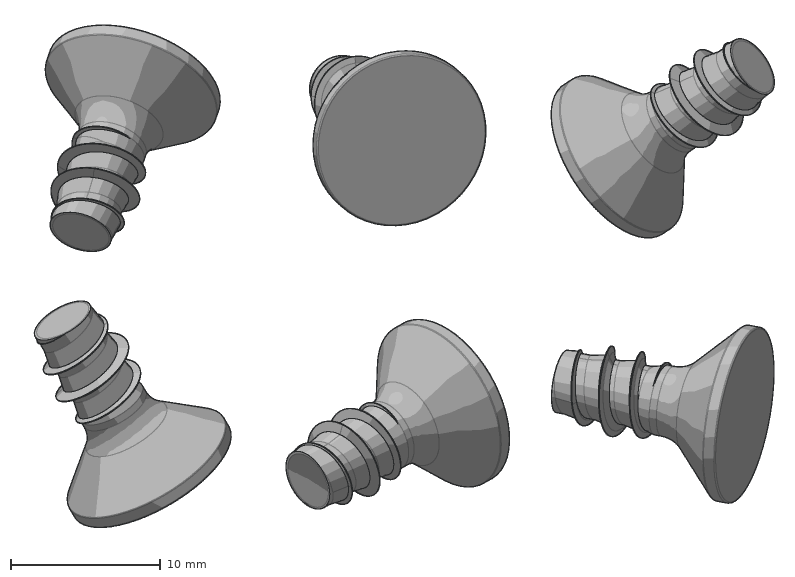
import cadquery as cq
import math


length = 13.0
head_radius = 6.0
shank_radius = 2.39
core_radius = 2.11

rim_depth = 0.87
rim_round = 0.1
neck_fillet = 2.35

thread_top = 5.96
taper_length = 0.95
tip_dimple_radius = 1.97
tip_dimple_depth = 0.13
tip_allowance = 1.0

pitch = 2.125
helix_zero_depth = 5.0
run_in_angle = 50.0
step_angle = 22.5
major_radius = 3.02
run_in_radius = 2.36
ring_radius = 2.52
run_out_radius = 2.05
ring_angle = 90.0
full_start_angle = 540.0
full_end_angle = 810.0
thread_end_angle = 1365.0
ring_depth = thread_top + 0.03

crest_half_width = 0.03
kink_offset = -0.16
kink_drop = 0.42
upper_root_offset = -0.48
lower_root_offset = 0.35
root_drop = 0.97
buried_drop = 1.25

swell_radius = 2.37
swell_fade_radius = 2.33
swell_end_radius = core_radius
swell_length = 1.40
swell_start_angle = ring_angle
swell_fade_angle = 1080.0
swell_inner_radius = 1.9
embed = 0.01


def interpolate(angle, stations):
    """Value at an angle, linear between (angle, value) stations."""
    for (a0, v0), (a1, v1) in zip(stations, stations[1:]):
        if angle <= a1:
            return v0 + (v1 - v0) * (angle - a0) / (a1 - a0)
    return stations[-1][1]


def helix_depth(angle):
    return helix_zero_depth + pitch * angle / 360.0


def crest_radius(angle):
    return interpolate(angle, [
        (run_in_angle, run_in_radius),
        (ring_angle, ring_radius),
        (full_start_angle, major_radius),
        (full_end_angle, major_radius),
        (thread_end_angle, run_out_radius),
    ])


def thread_section(angle):
    """(depth, radius) corners of the thread; the section sinks where the crest is lower."""
    depth = max(helix_depth(angle), ring_depth)
    radius = crest_radius(angle)
    corners = [
        (upper_root_offset, buried_drop),
        (upper_root_offset, root_drop),
        (kink_offset, kink_drop),
        (-crest_half_width, 0),
        (crest_half_width, 0),
        (lower_root_offset, root_drop),
        (lower_root_offset, buried_drop),
    ]
    return [(depth + offset, radius - drop) for offset, drop in corners]


def swell_section(angle):
    """(depth, radius) corners of the swell, highest under the crest."""
    depth = helix_depth(angle)
    top = interpolate(angle, [
        (swell_start_angle, swell_radius),
        (full_end_angle, swell_radius),
        (swell_fade_angle, swell_fade_radius),
        (thread_end_angle, swell_end_radius),
    ])
    return [
        (depth, swell_inner_radius),
        (depth, top),
        (depth + swell_length, core_radius - embed),
        (depth + swell_length, swell_inner_radius),
    ]


def helical_solid(section, start_angle, end_angle):
    """Solid swept by a section that turns about the screw axis and may change on the way."""
    steps = math.ceil((end_angle - start_angle) / step_angle)
    angles = [start_angle + (end_angle - start_angle) * i / steps for i in range(steps + 1)]
    rows = []
    for angle in angles:
        c = math.cos(math.radians(angle))
        s = math.sin(math.radians(angle))
        rows.append([cq.Vector(r * c, -d, r * s) for d, r in section(angle)])
    rails = [cq.Edge.makeSpline(list(rail)) for rail in zip(*rows)]
    faces = [cq.Face.makeRuledSurface(a, b) for a, b in zip(rails, rails[1:] + rails[:1])]
    for row in (rows[0], rows[-1]):
        faces.append(cq.Face.makeFromWires(cq.Wire.makePolygon(row, close=True)))
    solid = cq.Solid.makeSolid(cq.Shell.makeShell(faces))
    return cq.Workplane(solid.fix())


def make_body():
    """Head, neck, shank and core, turned about the axis."""
    slope = math.sqrt(0.5)
    fillet_start_radius = shank_radius + neck_fillet * (1 - slope)
    fillet_start = rim_depth + head_radius - fillet_start_radius
    fillet_end = fillet_start + neck_fillet * slope
    fillet_center = shank_radius + neck_fillet
    fillet_mid = math.radians(45 / 2)
    fillet_mid_point = (
        fillet_center - neck_fillet * math.cos(fillet_mid),
        -(fillet_end - neck_fillet * math.sin(fillet_mid)),
    )
    rim = cq.Workplane("ZY").polyline([
        (0, 0),
        (head_radius, 0),
        (head_radius, -rim_depth),
    ])
    body = (
        rim.lineTo(fillet_start_radius, -fillet_start)
        .threePointArc(fillet_mid_point, (shank_radius, -fillet_end))
        .lineTo(shank_radius, -thread_top)
        .lineTo(core_radius, -(thread_top + taper_length))
        .lineTo(core_radius, -(length + tip_allowance))
        .lineTo(0, -(length + tip_allowance))
        .close()
        .revolve(360, (0, 0, 0), (0, 1, 0))
    )
    rim_zone = cq.selectors.BoxSelector(
        (-head_radius, -rim_depth - rim_round, -head_radius),
        (head_radius, rim_round, head_radius),
    )
    return body.edges("%CIRCLE").edges(rim_zone).fillet(rim_round)


def make_tip_cutter():
    """Block that cuts the screw to length and leaves a shallow conical dimple in the tip."""
    cutter_end = length + 2 * tip_allowance
    return (
        cq.Workplane("XY")
        .polyline([
            (0, -(length - tip_dimple_depth)),
            (tip_dimple_radius, -length),
            (head_radius, -length),
            (head_radius, -cutter_end),
            (0, -cutter_end),
        ])
        .close()
        .revolve(360, (0, 0, 0), (0, 1, 0))
    )


level_end_angle = 360.0 * (ring_depth - helix_zero_depth) / pitch
stretch_angles = [
    run_in_angle,
    ring_angle,
    level_end_angle,
    full_start_angle,
    full_end_angle,
    swell_fade_angle,
    thread_end_angle,
]

result = make_body()
for start, end in zip(stretch_angles, stretch_angles[1:]):
    if start >= swell_start_angle:
        result = result.union(helical_solid(swell_section, start, end))
    result = result.union(helical_solid(thread_section, start, end))
result = result.cut(make_tip_cutter())